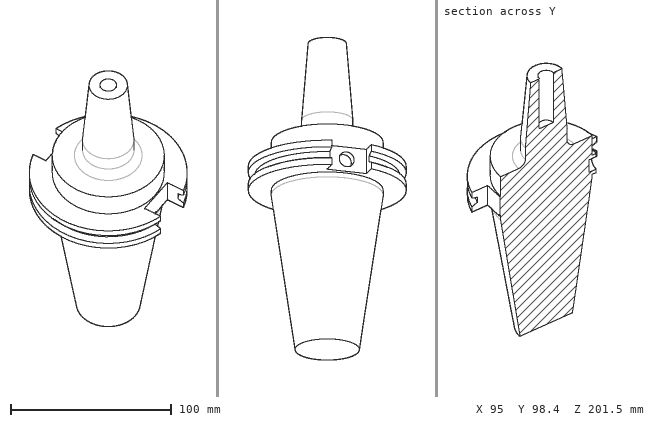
import cadquery as cq
import math

total_height = 201.5
gauge_height = 101.6
flange_bottom = 104.8
flange_thickness = 16.0
collar_top = 136.5
neck_top = 151.0
flange_top = flange_bottom + flange_thickness
flange_middle = flange_bottom + flange_thickness / 2

shank_taper = 7 / 24
collar_radius = 69.8 / 2
shank_end_radius = collar_radius - gauge_height * shank_taper / 2
flange_radius = 98.4 / 2
neck_radius = 32.0 / 2
nose_radius = 24.0 / 2
root_fillet_radius = 5.0

groove_radius = 90.3 / 2
groove_floor_width = 3.8
groove_mouth_width = 7.3
groove_floor_half = groove_floor_width / 2
groove_mouth_half = groove_mouth_width / 2

slot_width = 25.8
left_slot_floor = 38.0
right_slot_floor = 35.5

bore_diameter = 10.3
bore_depth = 40.3
dimple_diameter = 9.7
dimple_depth = 5.5


def revolved_body():
    """Shank, grooved flange, collar and tapered nose as one revolved profile."""
    fillet_offset = root_fillet_radius * (1 - math.sqrt(0.5))
    profile = (
        cq.Workplane("XZ")
        .moveTo(0, 0)
        .lineTo(shank_end_radius, 0)
        .lineTo(collar_radius, gauge_height)
        .lineTo(collar_radius, flange_bottom)
        .lineTo(flange_radius, flange_bottom)
        .lineTo(flange_radius, flange_middle - groove_mouth_half)
        .lineTo(groove_radius, flange_middle - groove_floor_half)
        .lineTo(groove_radius, flange_middle + groove_floor_half)
        .lineTo(flange_radius, flange_middle + groove_mouth_half)
        .lineTo(flange_radius, flange_top)
        .lineTo(collar_radius, flange_top)
        .lineTo(collar_radius, collar_top)
        .lineTo(neck_radius + root_fillet_radius, collar_top)
        .threePointArc(
            (neck_radius + fillet_offset, collar_top + fillet_offset),
            (neck_radius, collar_top + root_fillet_radius),
        )
        .lineTo(neck_radius, neck_top)
        .lineTo(nose_radius, total_height)
        .lineTo(0, total_height)
        .close()
    )
    return profile.revolve(360, (0, 0, 0), (0, 1, 0))


def drive_slot(side, floor_distance):
    """Cutter for one slot through the flange; side is -1 for -X or +1 for +X."""
    slot_depth = flange_radius - floor_distance
    slot_center = side * (floor_distance + slot_depth / 2)
    return (
        cq.Workplane("XY", origin=(slot_center, 0, flange_bottom))
        .rect(slot_depth, slot_width)
        .extrude(flange_thickness)
    )


def tool_bore():
    """Cutter for the blind bore in the nose."""
    return (
        cq.Workplane("XY", origin=(0, 0, total_height))
        .circle(bore_diameter / 2)
        .extrude(-bore_depth)
    )


def slot_dimple():
    """Cutter for the blind round hole in the floor of the -X slot."""
    return (
        cq.Workplane("YZ", origin=(-left_slot_floor, 0, flange_middle))
        .circle(dimple_diameter / 2)
        .extrude(dimple_depth)
    )


result = (
    revolved_body()
    .cut(drive_slot(-1, left_slot_floor))
    .cut(drive_slot(1, right_slot_floor))
    .cut(tool_bore())
    .cut(slot_dimple())
)